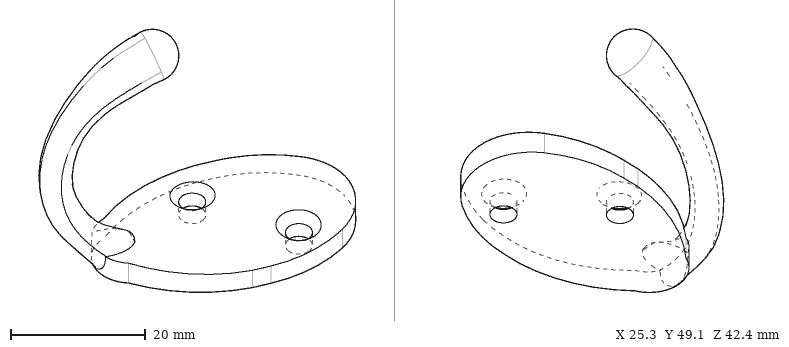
import cadquery as cq
import math

PLATE_HALF_WIDTH = 12.65
PLATE_REAR_Y = 18.8
PLATE_FRONT_Y = -21.85
PLATE_CENTRE_HEIGHT = 4.0
PLATE_EDGE_HEIGHT = 3.4
REAR_ARC_RADIUS = 10.6
FLANK_REAR_Y = 1.55
FLANK_FRONT_Y = -1.4
TAPER_MID = (11.25, -8.4)
TAPER_END = (5.4, -18.3)

HOLE_CENTRES = [(5.95, 8.35), (-5.95, -4.15)]
HOLE_DIAMETER = 4.0
COUNTERSINK_DIAMETER = 6.7
COUNTERSINK_ANGLE = 90.0

HOOK_STATIONS = [
    (-12.6, 38.42, 3.95, 3.95),
    (-17.1, 36.4, 3.7, 3.75),
    (-21.5, 33.3, 3.1, 3.1),
    (-24.75, 29.6, 2.65, 2.65),
    (-27.77, 21.0, 2.5, 2.5),
    (-27.05, 13.7, 2.55, 2.6),
    (-24.2, 7.9, 2.6, 2.6),
    (-21.4, 4.45, 2.9, 2.85),
    (-18.75, 2.1, 3.75, 3.5),
]
TIP_SLOPE = 17.0
ROOT_SLOPE = 57.0


def crown_radius():
    sagitta = PLATE_CENTRE_HEIGHT - PLATE_EDGE_HEIGHT
    return (PLATE_HALF_WIDTH**2 + sagitta**2) / (2 * sagitta)


def make_plate():
    rear_centre_y = PLATE_REAR_Y - REAR_ARC_RADIUS
    rise = rear_centre_y - FLANK_REAR_Y
    width, rear = PLATE_HALF_WIDTH, REAR_ARC_RADIUS
    side_radius = (width**2 + rise**2 - rear**2) / (2 * (width - rear))
    blend_angle = math.atan2(rise, side_radius - width)
    blend_x = rear * math.cos(blend_angle)
    blend_y = rear_centre_y + rear * math.sin(blend_angle)
    side_mid_x = width - side_radius * (1 - math.cos(blend_angle / 2))
    side_mid_y = FLANK_REAR_Y + side_radius * math.sin(blend_angle / 2)

    blank = (
        cq.Workplane("XY")
        .moveTo(width, FLANK_FRONT_Y)
        .lineTo(width, FLANK_REAR_Y)
        .threePointArc((side_mid_x, side_mid_y), (blend_x, blend_y))
        .threePointArc((0, PLATE_REAR_Y), (-blend_x, blend_y))
        .threePointArc((-side_mid_x, side_mid_y), (-width, FLANK_REAR_Y))
        .lineTo(-width, FLANK_FRONT_Y)
        .threePointArc((-TAPER_MID[0], TAPER_MID[1]), (-TAPER_END[0], TAPER_END[1]))
        .threePointArc((0, PLATE_FRONT_Y), TAPER_END)
        .threePointArc(TAPER_MID, (width, FLANK_FRONT_Y))
        .close()
        .extrude(PLATE_CENTRE_HEIGHT)
    )
    plate_length = PLATE_REAR_Y - PLATE_FRONT_Y
    crown = (
        cq.Workplane("XZ")
        .center(0, PLATE_CENTRE_HEIGHT - crown_radius())
        .circle(crown_radius())
        .extrude(plate_length, both=True)
    )
    return blank.intersect(crown)


def make_hole_cutter(x, y):
    radius = crown_radius()
    surface_z = PLATE_CENTRE_HEIGHT - radius + math.sqrt(radius**2 - x**2)
    slope = math.tan(math.radians(COUNTERSINK_ANGLE / 2))
    cone_depth = (COUNTERSINK_DIAMETER - HOLE_DIAMETER) / 2 / slope
    clearance = 1.0
    hole_radius = HOLE_DIAMETER / 2
    mouth_radius = COUNTERSINK_DIAMETER / 2 + clearance * slope
    profile = (
        cq.Workplane("XZ")
        .moveTo(0, -clearance)
        .lineTo(hole_radius, -clearance)
        .lineTo(hole_radius, surface_z - cone_depth)
        .lineTo(mouth_radius, surface_z + clearance)
        .lineTo(0, surface_z + clearance)
        .close()
    )
    return profile.revolve(360, (0, 0), (0, 1)).translate((x, y, 0))


def make_hook():
    centres = [cq.Vector(0, y, z) for y, z, _, _ in HOOK_STATIONS]
    tip_slope = math.radians(TIP_SLOPE)
    root_slope = math.radians(ROOT_SLOPE)
    tip_direction = cq.Vector(0, -math.cos(tip_slope), -math.sin(tip_slope))
    root_direction = cq.Vector(0, math.cos(root_slope), -math.sin(root_slope))
    parameters = [0.0]
    for start, end in zip(centres, centres[1:]):
        parameters.append(parameters[-1] + (end - start).Length)
    centreline = cq.Edge.makeSpline(
        centres,
        tangents=[tip_direction, root_direction],
        parameters=parameters,
    )

    sections = []
    for index, (_, _, half_thickness, half_width) in enumerate(HOOK_STATIONS):
        direction = centreline.tangentAt(parameters[index], mode="parameter")
        plane = cq.Plane(origin=centres[index], xDir=(1, 0, 0), normal=direction)
        section = cq.Workplane(plane).ellipse(half_width, half_thickness)
        sections.append(section.wires().val())
    arm = cq.Workplane(cq.Solid.makeLoft(sections))

    tip_radius = HOOK_STATIONS[0][2]
    dome = cq.Solid.makeSphere(tip_radius, centres[0], -tip_direction, 0, 90, 360)
    return arm.union(cq.Workplane(dome))


plate = make_plate()
result = plate.union(make_hook())
for hole_x, hole_y in HOLE_CENTRES:
    result = result.cut(make_hole_cutter(hole_x, hole_y))